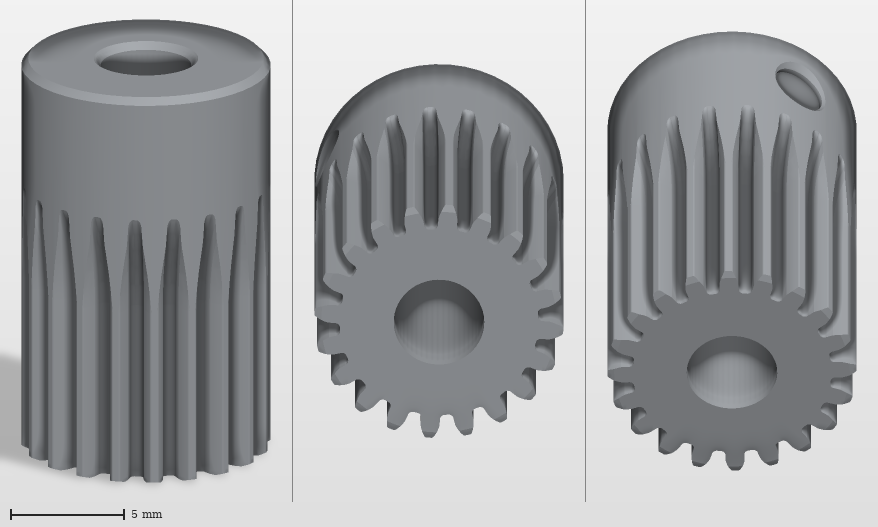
import cadquery as cq
import math

outer_diameter = 11.0
length = 18.0
bore_diameter = 4.0
edge_chamfer = 0.3
tooth_end_chamfer = 0.3
tooth_end_chamfer_height = 0.1

tooth_count = 20
pressure_angle = math.radians(20)
dedendum_factor = 1.25
full_depth_height = 8.0
hob_radius = 9.0
hob_sweep = 45.0
root_fillet = 0.22
flank_start_radius = 4.9
tip_land = 0.18
tip_round_height = 0.05
gap_overcut = 0.18

screw_height = 15.0
screw_diameter = 2.47
screw_length = 3.0
screw_tip_chamfer = 0.27
screw_hole_mouth_diameter = 3.0

outer_radius = outer_diameter / 2
bore_radius = bore_diameter / 2
module = outer_diameter / (tooth_count + 2)
pitch_radius = module * tooth_count / 2
base_radius = pitch_radius * math.cos(pressure_angle)
root_radius = pitch_radius - dedendum_factor * module
gap_pitch = 360 / tooth_count


def involute(angle):
    return math.tan(angle) - angle


def polar(radius, angle):
    return radius * math.cos(angle), radius * math.sin(angle)


def gap_edge(radius):
    """Point on the involute flank of a tooth gap that is centred on the +X axis."""
    base_half_angle = math.pi / (2 * tooth_count) - involute(pressure_angle)
    flank_angle = math.acos(base_radius / radius)
    return polar(radius, base_half_angle + involute(flank_angle))


def gap_profile():
    """One half of a tooth gap, mirrored: flat root, fillet, involute flank and rounded tooth tip."""
    root_half_width = gap_edge(base_radius)[1]
    flank_start = gap_edge(flank_start_radius)
    middle = gap_edge((flank_start_radius + outer_radius) / 2)
    shoulder = gap_edge(outer_radius - tip_round_height)
    tip_half_angle = math.asin(tip_land / outer_diameter)
    tip = polar(outer_radius, math.pi / tooth_count - tip_half_angle)
    mouth = (outer_radius + gap_overcut, tip[1])
    fillet_end = (root_radius + root_fillet, root_half_width)
    fillet_start = (root_radius, root_half_width - root_fillet)
    return (
        cq.Workplane("XY")
        .workplane(offset=full_depth_height)
        .moveTo(root_radius, 0)
        .lineTo(*fillet_start)
        .tangentArcPoint(fillet_end, relative=False)
        .lineTo(*flank_start)
        .threePointArc(middle, shoulder)
        .tangentArcPoint(tip, relative=False)
        .lineTo(*mouth)
        .lineTo(mouth[0], 0)
        .mirrorX()
    )


def make_gap_cutter():
    """Straight gap down to the bottom face plus the curved hob run-out above it."""
    hob_axis = root_radius + hob_radius
    straight = gap_profile().extrude(-full_depth_height)
    run_out = gap_profile().revolve(hob_sweep, (hob_axis, 0, 0), (hob_axis, 1, 0))
    return straight.union(run_out)


def make_blank():
    """Turned sleeve with its bore and broken edges."""
    return (
        cq.Workplane("XZ")
        .moveTo(bore_radius, 0)
        .lineTo(outer_radius - tooth_end_chamfer, 0)
        .lineTo(outer_radius, tooth_end_chamfer_height)
        .lineTo(outer_radius, length - edge_chamfer)
        .lineTo(outer_radius - edge_chamfer, length)
        .lineTo(bore_radius + edge_chamfer, length)
        .lineTo(bore_radius, length - edge_chamfer)
        .close()
        .revolve(360, (0, 0, 0), (0, 1, 0))
    )


def make_pinion():
    """Blank with its ring of tooth gaps and the radial screw hole."""
    pinion = make_blank()
    gap_cutter = make_gap_cutter()
    for index in range(tooth_count):
        angle = (index + 0.5) * gap_pitch
        pinion = pinion.cut(gap_cutter.rotate((0, 0, 0), (0, 0, 1), angle))
    return pinion.cut(make_screw_hole())


def make_screw_hole():
    """Radial hole along +Y from the bore, with a countersunk mouth."""
    hole_radius = screw_diameter / 2
    mouth_radius = screw_hole_mouth_diameter / 2
    return (
        cq.Workplane("XY", origin=(0, 0, screw_height))
        .lineTo(hole_radius, 0)
        .lineTo(hole_radius, outer_radius - (mouth_radius - hole_radius))
        .lineTo(mouth_radius, outer_radius)
        .lineTo(0, outer_radius)
        .close()
        .revolve(360, (0, 0, 0), (0, 1, 0))
    )


def make_set_screw():
    """Plain cylinder with a chamfered tip facing the bore."""
    return (
        cq.Workplane("XZ", origin=(0, bore_radius, screw_height))
        .circle(screw_diameter / 2)
        .extrude(-screw_length)
        .faces("<Y")
        .chamfer(screw_tip_chamfer)
    )


pinion = make_pinion()
set_screw = make_set_screw()

result = cq.Compound.makeCompound([pinion.val(), set_screw.val()])